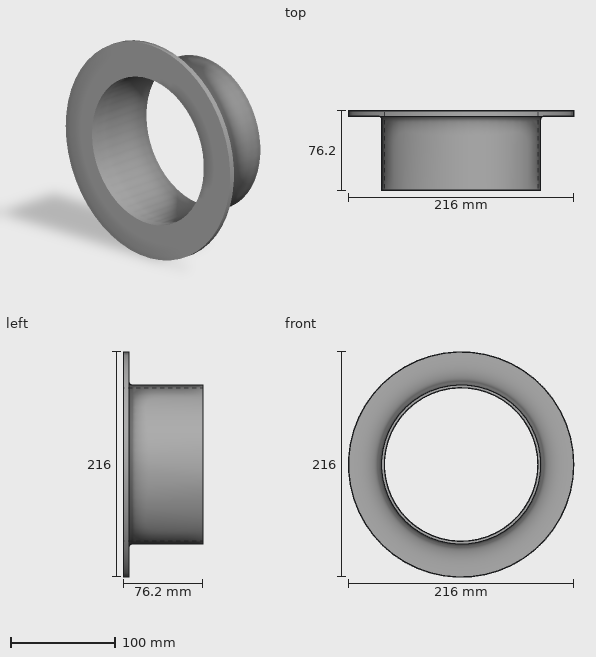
import cadquery as cq

flange_diameter = 216.0
pipe_diameter = 152.5
bore_diameter = 146.8
total_length = 76.2
flange_thickness = 5.5
root_fillet = 3.0

flange_radius = flange_diameter / 2
pipe_radius = pipe_diameter / 2
bore_radius = bore_diameter / 2
pipe_length = total_length - flange_thickness

half_section = (
    cq.Workplane("XY")
    .moveTo(bore_radius, 0)
    .lineTo(flange_radius, 0)
    .lineTo(flange_radius, -flange_thickness)
    .lineTo(pipe_radius + root_fillet, -flange_thickness)
    .radiusArc((pipe_radius, -flange_thickness - root_fillet), -root_fillet)
    .lineTo(pipe_radius, -flange_thickness - pipe_length)
    .lineTo(bore_radius, -flange_thickness - pipe_length)
    .close()
)

result = half_section.revolve(360, (0, 0, 0), (0, 1, 0))